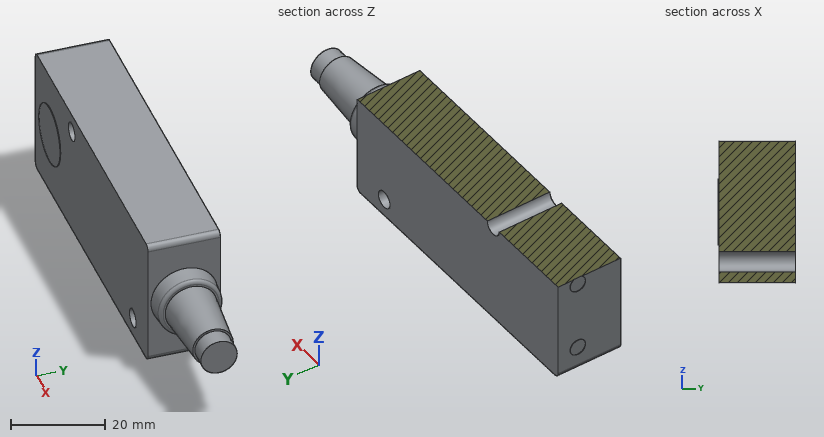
import cadquery as cq

overall_length = 96.8
overall_depth = 16.5
housing_length = 74.0
housing_height = 30.0
corner_radius = 1.3

disc_height = 0.2
disc_diameter = 13.9
disc_x = 9.8
housing_depth = overall_depth - disc_height
front_y = -housing_depth / 2
back_y = housing_depth / 2

mount_diameter = 4.3
mount_z = 10.6
mount_upper_x = 23.9
mount_lower_x = 64.0

window_diameter = 4.0
window_recess = 0.1
window_from_back = 5.1
window_z = 8.9

collar_base_radius = 7.5
collar_tip_radius = 7.1
collar_length = 4.55
collar_rounding = 0.9
sleeve_base_radius = 5.8
sleeve_tip_radius = 4.55
stub_radius = 4.1
stub_length = 4.0


def make_housing():
    block = cq.Workplane("XY").box(
        housing_length, housing_depth, housing_height, centered=(False, True, True)
    )
    return block.edges("|Y").fillet(corner_radius)


def make_disc():
    return (
        cq.Workplane("XZ", origin=(disc_x, front_y, 0))
        .circle(disc_diameter / 2)
        .extrude(disc_height)
    )


def make_mounting_holes():
    return (
        cq.Workplane("XZ", origin=(0, back_y, 0))
        .pushPoints([(mount_upper_x, mount_z), (mount_lower_x, -mount_z)])
        .circle(mount_diameter / 2)
        .extrude(housing_depth)
    )


def make_window_recesses():
    window_y = back_y - window_from_back
    return (
        cq.Workplane("YZ")
        .pushPoints([(window_y, window_z), (window_y, -window_z)])
        .circle(window_diameter / 2)
        .extrude(window_recess)
    )


def make_cone(start_x, end_x, start_radius, end_radius):
    """Solid of revolution about the X axis, straight or tapered."""
    return (
        cq.Workplane("XY")
        .moveTo(start_x, 0)
        .lineTo(start_x, start_radius)
        .lineTo(end_x, end_radius)
        .lineTo(end_x, 0)
        .close()
        .revolve(360, (0, 0, 0), (1, 0, 0))
    )


def make_gland():
    collar_end = housing_length + collar_length
    sleeve_end = overall_length - stub_length
    collar = make_cone(housing_length, collar_end, collar_base_radius, collar_tip_radius)
    collar = collar.faces(">X").edges().fillet(collar_rounding)
    sleeve = make_cone(collar_end, sleeve_end, sleeve_base_radius, sleeve_tip_radius)
    stub = make_cone(sleeve_end, overall_length, stub_radius, stub_radius)
    return collar.union(sleeve).union(stub)


result = (
    make_housing()
    .union(make_disc())
    .union(make_gland())
    .cut(make_mounting_holes())
    .cut(make_window_recesses())
)